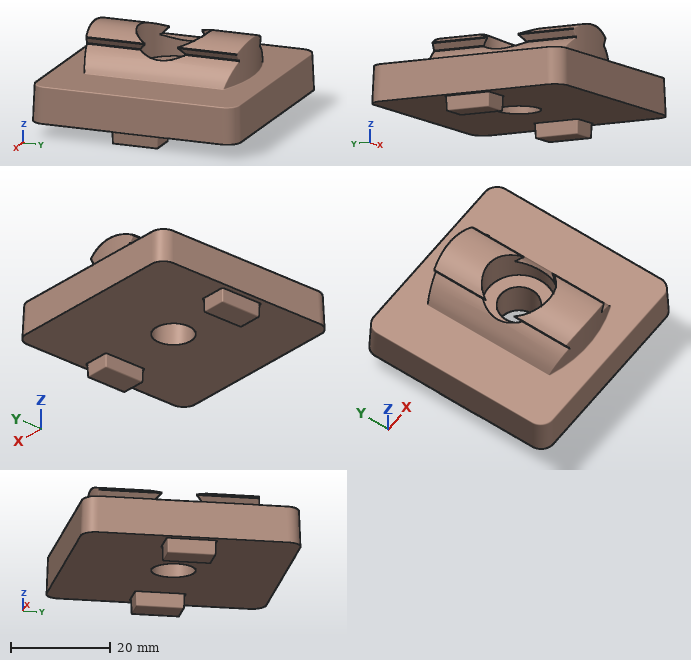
import cadquery as cq
import math

DRAFT_ANGLE = 2.0
EDGE_RADIUS = 0.25
SEAM_RADIUS = 0.2
SADDLE_EDGE_RADIUS = 0.2

PLATE_SIZE = 45.0
PLATE_HEIGHT = 7.75
PLATE_CORNER_RADIUS = 3.0

SADDLE_HEIGHT = 8.25
SADDLE_LENGTH = 34.25
SADDLE_END_RADIUS = 29.0
CROWN_RADIUS = 13.5
FLANK_RADIUS = 12.25
FLANK_CENTER_DEPTH = 14.3
LIP_HALF_WIDTH = 6.6
LIP_WALL_HEIGHT = 0.2
NECK_HALF_WIDTH = 5.7
NECK_WALL_HEIGHT = 0.2

BORE_DIAMETER = 9.0
COUNTERBORE_DIAMETER = 15.0
COUNTERBORE_DEPTH = 8.0

FOOT_WIDTH = 5.95
FOOT_LENGTH = 10.0
FOOT_HEIGHT = 3.0
FOOT_CENTER_X = 18.0

SADDLE_TOP_Z = PLATE_HEIGHT + SADDLE_HEIGHT
CROWN_CENTER_Z = SADDLE_TOP_Z - CROWN_RADIUS
FLANK_CENTER_Z = SADDLE_TOP_Z - FLANK_CENTER_DEPTH


def crown_z(x):
    """Height of the crown arc at offset x from the middle."""
    return CROWN_CENTER_Z + math.sqrt(CROWN_RADIUS**2 - x**2)


def flank_z(x):
    """Height of the flank arc at offset x from the middle."""
    return FLANK_CENTER_Z + math.sqrt(FLANK_RADIUS**2 - x**2)


def edges_at_level(z, window):
    """Selector of the edges at height z within a centred square window."""
    half = window / 2
    slack = 0.01
    return cq.selectors.BoxSelector(
        (-half, -half, z - slack), (half, half, z + slack), boundingbox=True
    )


def make_plate():
    """Square plate with drafted walls, standing on z = 0."""
    return (
        cq.Workplane("XY")
        .rect(PLATE_SIZE, PLATE_SIZE)
        .extrude(PLATE_HEIGHT, taper=DRAFT_ANGLE)
        .edges("not (#Z or |X or |Y)")
        .fillet(PLATE_CORNER_RADIUS)
        .faces(">Z")
        .edges()
        .fillet(EDGE_RADIUS)
    )


def make_saddle():
    """Domed rail with a dovetail crown, its ends bowed outward."""
    base_half_width = math.sqrt(FLANK_RADIUS**2 - (PLATE_HEIGHT - FLANK_CENTER_Z) ** 2)
    flank_middle_x = (base_half_width + NECK_HALF_WIDTH) / 2
    flank_middle_z = flank_z(flank_middle_x)
    neck_z = flank_z(NECK_HALF_WIDTH)
    lip_z = crown_z(LIP_HALF_WIDTH)
    rail = (
        cq.Workplane("XZ")
        .moveTo(-base_half_width, PLATE_HEIGHT)
        .threePointArc((-flank_middle_x, flank_middle_z), (-NECK_HALF_WIDTH, neck_z))
        .lineTo(-NECK_HALF_WIDTH, neck_z + NECK_WALL_HEIGHT)
        .lineTo(-LIP_HALF_WIDTH, lip_z - LIP_WALL_HEIGHT)
        .lineTo(-LIP_HALF_WIDTH, lip_z)
        .threePointArc((0, SADDLE_TOP_Z), (LIP_HALF_WIDTH, lip_z))
        .lineTo(LIP_HALF_WIDTH, lip_z - LIP_WALL_HEIGHT)
        .lineTo(NECK_HALF_WIDTH, neck_z + NECK_WALL_HEIGHT)
        .lineTo(NECK_HALF_WIDTH, neck_z)
        .threePointArc((flank_middle_x, flank_middle_z), (base_half_width, PLATE_HEIGHT))
        .close()
        .extrude(SADDLE_LENGTH / 2, both=True)
    )
    end_offset = SADDLE_LENGTH / 2 - SADDLE_END_RADIUS
    for side in (-1, 1):
        end_round = (
            cq.Workplane("XY", origin=(0, side * end_offset, 0))
            .circle(SADDLE_END_RADIUS)
            .extrude(SADDLE_TOP_Z)
        )
        rail = rail.intersect(end_round)
    return rail.edges("not (|Y or <Z)").fillet(SADDLE_EDGE_RADIUS)


def make_mount():
    """Plate and saddle in one piece, with the counterbored screw hole."""
    mount = make_plate().union(make_saddle())
    seam = edges_at_level(PLATE_HEIGHT, PLATE_SIZE - 2 * PLATE_CORNER_RADIUS)
    mount = mount.edges(seam).fillet(SEAM_RADIUS)
    bore = cq.Workplane("XY").circle(BORE_DIAMETER / 2).extrude(SADDLE_TOP_Z)
    counterbore = (
        cq.Workplane("XY", origin=(0, 0, SADDLE_TOP_Z - COUNTERBORE_DEPTH))
        .circle(COUNTERBORE_DIAMETER / 2)
        .extrude(COUNTERBORE_DEPTH)
    )
    return mount.cut(bore).cut(counterbore)


def make_foot(center_x):
    """Drafted block under the plate, with rounded edges and a root that flares out at the plate.

    A temporary backing slab in place of the plate gives the corner in which the flare is rounded.
    """
    block = (
        cq.Workplane("XY")
        .rect(FOOT_WIDTH, FOOT_LENGTH)
        .extrude(-FOOT_HEIGHT, taper=DRAFT_ANGLE)
        .edges("not >Z")
        .fillet(EDGE_RADIUS)
    )
    backing_size = 2 * FOOT_LENGTH
    backing = cq.Workplane("XY").rect(backing_size, backing_size).extrude(FOOT_HEIGHT)
    root = edges_at_level(0, backing_size - FOOT_WIDTH)
    foot = block.union(backing).edges(root).fillet(SEAM_RADIUS).cut(backing)
    return foot.translate((center_x, 0, 0))


mount = make_mount()
feet = [make_foot(side * FOOT_CENTER_X) for side in (-1, 1)]
result = cq.Compound.makeCompound([mount.val(), *[foot.val() for foot in feet]])